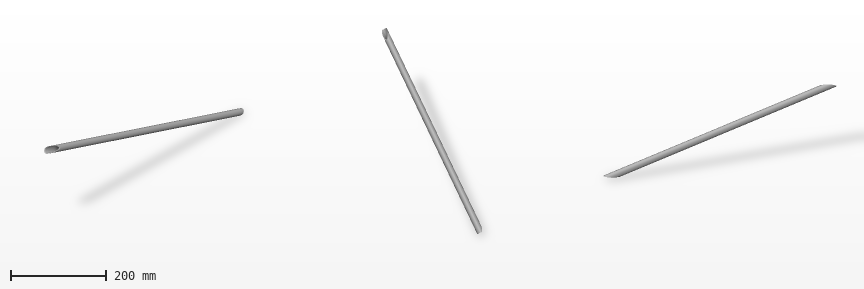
import cadquery as cq
import math

tube_radius = 8.5
wall = 1.2
lens_offset = 2.5
lens_angle = 135
cope_radius = 11.0
tip_span = 224.5
rise_angle = 44.3
lean_angle = 63.8
blank_length = 616.5
cutter_length = 948.5

rise = math.radians(rise_angle)
lean = math.radians(lean_angle)
axis = cq.Vector(
    math.cos(lean) * math.cos(rise),
    -math.sin(lean),
    math.cos(lean) * math.sin(rise),
)

across = cq.Vector(-math.sin(rise), 0, math.cos(rise))

cope_offset = tip_span / 2 + math.sqrt(cope_radius**2 - tube_radius**2)


def make_lens_bar(radius):
    """Straight bar whose section is the overlap of two equal circles."""
    plane = cq.Plane(origin=axis * (blank_length / 2), xDir=across, normal=-axis)
    shift = math.radians(lens_angle)
    shift_x = lens_offset / 2 * math.cos(shift)
    shift_y = lens_offset / 2 * math.sin(shift)
    upper_bar = cq.Workplane(plane).center(shift_x, shift_y).circle(radius).extrude(blank_length)
    lower_bar = cq.Workplane(plane).center(-shift_x, -shift_y).circle(radius).extrude(blank_length)
    return upper_bar.intersect(lower_bar)


def make_end_cutter(side):
    """Cope cylinder along Y, widened into a slot that clears the waste beyond it."""
    slot_length = blank_length / 2
    return (
        cq.Workplane("XZ")
        .transformed(rotate=(0, 0, rise_angle))
        .center(side * (cope_offset + slot_length / 2), 0)
        .slot2D(slot_length + 2 * cope_radius, 2 * cope_radius)
        .extrude(cutter_length / 2, both=True)
    )


bore = make_lens_bar(tube_radius - wall)
result = make_lens_bar(tube_radius).cut(bore)
for side in (-1, 1):
    result = result.cut(make_end_cutter(side))